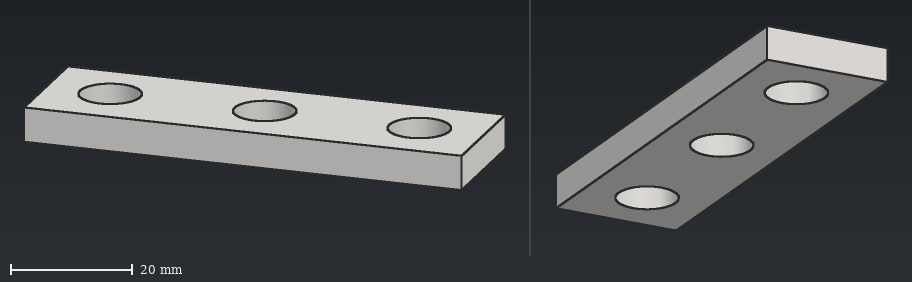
import cadquery as cq

length = 76.2
width = 22.3
thickness = 6.0

hole_diameter = 10.45
hole_pitch = 26.9
hole_count = 3

plate = cq.Workplane("XY").box(length, width, thickness)

result = (
    plate.faces(">Z")
    .workplane()
    .rarray(hole_pitch, 0.8, hole_count, 1)
    .hole(hole_diameter)
)